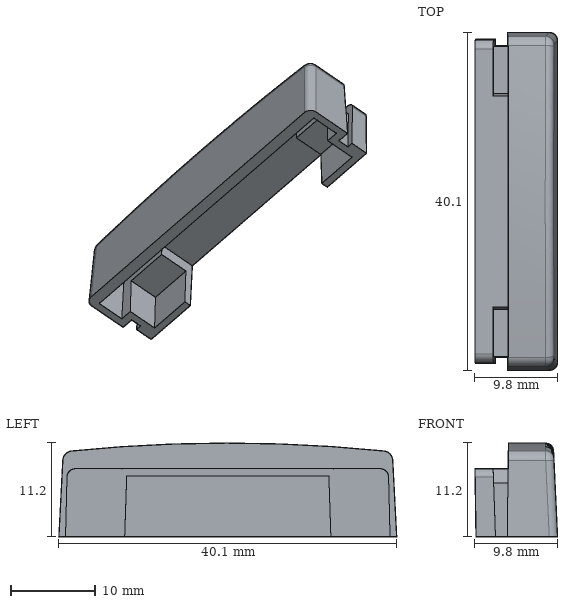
import cadquery as cq

LENGTH = 40.05
HEIGHT = 11.15
BODY_BACK = 9.8
BODY_BACK_TOP = 9.3
BODY_FRONT = 3.85
BODY_FRONT_TOP = 3.95
BODY_HALF_TOP = 19.5
SHOULDER_HEIGHT = 10.1
SHOULDER_RADIUS = 1.2
BACK_RADIUS = 1.0

PLATE_HEIGHT = 8.1
PLATE_FRONT_BASE = 0.12
PLATE_BACK = 2.45
PLATE_BACK_TOP = 2.15
PLATE_HALF = 19.2
PLATE_HALF_TOP = 19.0
PLATE_RADIUS = 1.0

NECK_HEIGHT = 6.4
NECK_HALF = 18.5
NECK_HALF_TOP = 18.35
RAISED_HALF = 12.77
RAISED_HALF_TOP = 12.5

WALL = 0.9
OPENING_HEIGHT = PLATE_HEIGHT - WALL
OPENING_HALF = 12.2
OPENING_HALF_TOP = 11.97

NECK_START = PLATE_BACK_TOP - 0.4
NECK_END = BODY_FRONT_TOP + 0.4


def block(x_start, x_end, half_base, half_top, z_top, z_base=0.0):
    """Bar along Y with drafted ends, between two X positions."""
    outline = [(-half_base, z_base), (half_base, z_base), (half_top, z_top), (-half_top, z_top)]
    bar = cq.Workplane("YZ").polyline(outline).close().extrude(x_end - x_start)
    return bar.translate((x_start, 0, 0))


def drafted_section(front, back, front_top, back_top, height):
    """Full-length bar whose front and back faces are drafted."""
    outline = [(front, 0), (back, 0), (back_top, height), (front_top, height)]
    return cq.Workplane("XZ").polyline(outline).close().extrude(LENGTH / 2, both=True)


def make_body():
    half = LENGTH / 2
    side = (
        cq.Workplane("YZ")
        .moveTo(-half, 0)
        .lineTo(half, 0)
        .lineTo(BODY_HALF_TOP, SHOULDER_HEIGHT)
        .threePointArc((0, HEIGHT), (-BODY_HALF_TOP, SHOULDER_HEIGHT))
        .close()
        .extrude(BODY_BACK)
        .edges("|X and (not <Z)")
        .fillet(SHOULDER_RADIUS)
    )
    section = drafted_section(BODY_FRONT, BODY_BACK, BODY_FRONT_TOP, BODY_BACK_TOP, HEIGHT)
    body = side.intersect(section)
    back_rim = body.faces(">X").edges("not <Z")
    return back_rim.fillet(BACK_RADIUS)


def make_plate():
    side = block(0, PLATE_BACK, PLATE_HALF, PLATE_HALF_TOP, PLATE_HEIGHT)
    side = side.edges("|X and >Z").fillet(PLATE_RADIUS)
    return side.intersect(
        drafted_section(PLATE_FRONT_BASE, PLATE_BACK, 0, PLATE_BACK_TOP, PLATE_HEIGHT)
    )


def make_neck():
    low = block(NECK_START, NECK_END, NECK_HALF, NECK_HALF_TOP, NECK_HEIGHT)
    raised = block(
        NECK_START, NECK_END, RAISED_HALF, RAISED_HALF_TOP, PLATE_HEIGHT, NECK_HEIGHT
    )
    return low.union(raised)


def make_hollow():
    """Space open to the underside, leaving walls all around."""
    inner_front = PLATE_FRONT_BASE + WALL
    body_inner_front = BODY_FRONT_TOP + WALL
    inner_back = BODY_BACK_TOP - WALL
    low = block(
        inner_front, body_inner_front, NECK_HALF - WALL, NECK_HALF_TOP - WALL, NECK_HEIGHT - WALL
    )
    tall = block(
        body_inner_front,
        inner_back,
        LENGTH / 2 - WALL,
        BODY_HALF_TOP - WALL,
        SHOULDER_HEIGHT - WALL,
    )
    opening = block(0, body_inner_front, OPENING_HALF, OPENING_HALF_TOP, OPENING_HEIGHT)
    return low.union(tall).union(opening)


result = make_body().union(make_plate()).union(make_neck()).cut(make_hollow())